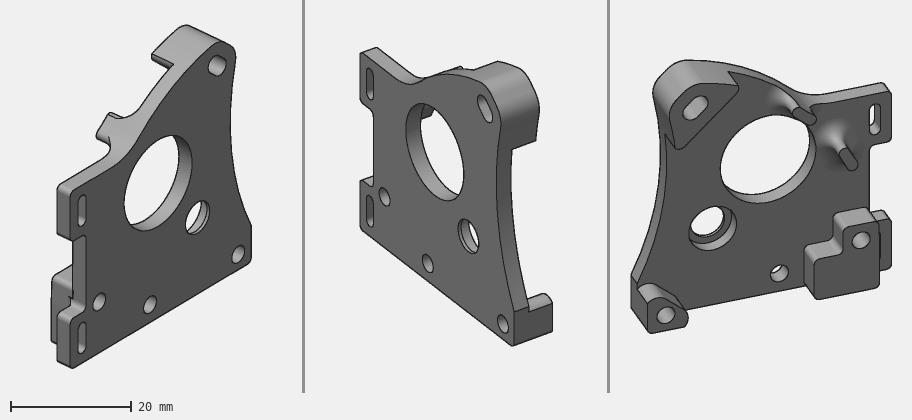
import cadquery as cq
import math

total_depth = 7.8
plate_thickness = 2.98
plate_front = total_depth - plate_thickness
plate_width = 45.35
plate_height = 47.25

edge_radius = 1.0
screw_radius = 1.6

tab_width = 3.95
lower_tab_top = 9.9
upper_tab_bottom = 25.05
upper_tab_top = 35.0
tab_slot_length = 6.0
tab_slot_radius = tab_width / 4
tab_slot_heights = (4.95, 30.0)
lower_tab_bevel = 0.15

ear_radius = 4.0
ear_slot_length = 1.75
ear_slot_angle = 42.3
ear_top_center = (36.15, plate_height - ear_radius)
ear_pad_half_length = 7.5
ear_pad_radius = 1.3

side_arc_radius = 51.45
side_arc_center_z = 29.8
crown_arc_radius = 38.05
crown_arc_center_y = 43.15
neck_arc_radius = 9.9

bore_center = (22.0, 26.45)
bore_radius = 8.5
bearing_center = (31.9, 15.0)
bearing_hole_radius = 3.0
bearing_pocket_radius = 4.25
bearing_pocket_depth = 2.35
bottom_hole_center = (20.0, 3.5)
block_hole_center = (7.25, 10.0)
corner_hole_center = (42.05, 3.0)

corner_pad_angle = 221.0
corner_pad_half_length = 4.5
corner_pad_offset = 2.4
corner_pad_radius = 2.4

block_left = 15.65
block_step_y = 10.5
block_step_z = 8.05
block_top = 13.2
block_lean = 0.2

peg_radius = 1.0
peg_flare_radius = 2.98
pegs = (
    ((17.4, 36.65), 3.05, 41.3),
    ((9.5, 26.4), 3.05, 62.7),
)

select_margin = 0.05


def polar(center, length, angle):
    """Point at a distance and an angle (degrees from +Y towards +Z) from a centre."""
    turn = math.radians(angle)
    return (center[0] + length * math.cos(turn), center[1] + length * math.sin(turn))


def point_toward(start, end, distance):
    """Point at a distance from start on the ray towards end."""
    scale = distance / math.dist(start, end)
    return (start[0] + (end[0] - start[0]) * scale, start[1] + (end[1] - start[1]) * scale)


def arc_middle(center, start, end):
    """Middle of the minor arc about a centre."""
    chord_middle = ((start[0] + end[0]) / 2, (start[1] + end[1]) / 2)
    return point_toward(center, chord_middle, math.dist(center, start))


def at_depth(x):
    return cq.Workplane("YZ", origin=(x, 0, 0))


def hole(center, radius, start=0, depth=total_depth):
    return at_depth(start).center(*center).circle(radius).extrude(depth)


def obround(center, length, radius, angle, depth=total_depth):
    """Round-ended bar along X; length is between its end centres."""
    profile = at_depth(0).center(*center).transformed(rotate=(0, 0, angle))
    return profile.slot2D(length + 2 * radius, 2 * radius).extrude(depth)


ear_side_center = polar(ear_top_center, ear_slot_length, -ear_slot_angle)

side_reach = side_arc_radius + ear_radius
side_arc_center = (
    ear_side_center[0] + math.sqrt(side_reach**2 - (ear_side_center[1] - side_arc_center_z) ** 2),
    side_arc_center_z,
)
side_arc_foot = (
    plate_width,
    side_arc_center_z - math.sqrt(side_arc_radius**2 - (side_arc_center[0] - plate_width) ** 2),
)
side_arc_end = point_toward(ear_side_center, side_arc_center, ear_radius)

crown_reach = crown_arc_radius - ear_radius
crown_arc_center = (
    crown_arc_center_y,
    ear_top_center[1] - math.sqrt(crown_reach**2 - (crown_arc_center_y - ear_top_center[0]) ** 2),
)
crown_start = point_toward(crown_arc_center, ear_top_center, crown_arc_radius)

neck_reach = crown_arc_radius + neck_arc_radius
neck_center_z = upper_tab_top + neck_arc_radius
neck_arc_center = (
    crown_arc_center_y - math.sqrt(neck_reach**2 - (neck_center_z - crown_arc_center[1]) ** 2),
    neck_center_z,
)
crown_end = point_toward(crown_arc_center, neck_arc_center, crown_arc_radius)
neck_end = (neck_arc_center[0], upper_tab_top)

ear_flat_side = polar(ear_side_center, ear_radius, 90 - ear_slot_angle)
ear_flat_top = polar(ear_top_center, ear_radius, 90 - ear_slot_angle)


def outline_prism(start):
    """Prism of the plate outline from X = start to the back of the plate."""
    prism = (
        at_depth(start)
        .moveTo(0, 0)
        .lineTo(plate_width, 0)
        .lineTo(*side_arc_foot)
        .threePointArc(arc_middle(side_arc_center, side_arc_foot, side_arc_end), side_arc_end)
        .threePointArc(arc_middle(ear_side_center, side_arc_end, ear_flat_side), ear_flat_side)
        .lineTo(*ear_flat_top)
        .threePointArc(arc_middle(ear_top_center, ear_flat_top, crown_start), crown_start)
        .threePointArc(arc_middle(crown_arc_center, crown_start, crown_end), crown_end)
        .threePointArc(arc_middle(neck_arc_center, crown_end, neck_end), neck_end)
        .lineTo(0, upper_tab_top)
        .lineTo(0, upper_tab_bottom)
        .lineTo(tab_width, upper_tab_bottom)
        .lineTo(tab_width, lower_tab_top)
        .lineTo(0, lower_tab_top)
        .close()
        .extrude(total_depth - start)
    )
    square_corners = [
        (0, 0),
        (plate_width, 0),
        (0, upper_tab_top),
        (0, upper_tab_bottom),
        (tab_width, upper_tab_bottom),
        (tab_width, lower_tab_top),
        (0, lower_tab_top),
    ]
    for y, z in square_corners:
        edge = cq.selectors.NearestToPointSelector(((start + total_depth) / 2, y, z))
        prism = prism.edges("|X").edges(edge).fillet(edge_radius)
    return prism


full_prism = outline_prism(0)


def tilted_pad(center, angle, half_length, offset, corner_radius):
    """Pad with a straight rounded edge beside a hole, trimmed elsewhere by the outline."""
    reach = 2 * half_length
    pad = (
        at_depth(0)
        .center(*center)
        .transformed(rotate=(0, 0, angle))
        .center(0, (reach - offset) / 2)
        .rect(2 * half_length, reach + offset)
        .extrude(total_depth)
        .edges("|X")
        .fillet(corner_radius)
    )
    return pad.intersect(full_prism)


def stepped_block():
    block = (
        at_depth(0)
        .moveTo(tab_width, 0)
        .lineTo(tab_width, block_step_z)
        .lineTo(tab_width + block_lean, block_top)
        .lineTo(block_step_y, block_top)
        .lineTo(block_step_y, block_step_z)
        .lineTo(block_left, block_step_z)
        .lineTo(block_left, 0)
        .close()
        .extrude(plate_front)
    )
    rounded_corners = [
        (tab_width, 0),
        (tab_width + block_lean, block_top),
        (block_step_y, block_top),
        (block_step_y, block_step_z),
        (block_left, block_step_z),
        (block_left, 0),
    ]
    for y, z in rounded_corners:
        edge = cq.selectors.NearestToPointSelector((plate_front / 2, y, z))
        block = block.edges("|X").edges(edge).fillet(edge_radius)
    return block


def block_foot_fillet(block):
    """Fillet from the lower tab up the block wall and around its bottom corner."""
    slab_corner = (plate_front, -block_left, -block_top)
    slab = cq.Workplane("XY", origin=slab_corner).box(
        plate_thickness, 3 * block_left, 3 * block_top, centered=False
    )
    foot_edges = cq.selectors.BoxSelector(
        (plate_front - select_margin, tab_width - select_margin, 0),
        (plate_front + select_margin, tab_width + edge_radius / 2, block_top - edge_radius),
    )
    filleted = slab.union(block).edges(foot_edges).fillet(edge_radius)
    foot_zone = cq.Workplane("XY").box(
        total_depth, tab_width + edge_radius, lower_tab_top + edge_radius, centered=False
    )
    return filleted.intersect(foot_zone).intersect(full_prism)


def flared_peg(center, length, angle):
    """Round-ended peg with a concave flare spreading onto the plate face."""
    spread = 2 * (length + peg_radius + 2 * peg_flare_radius)
    base = at_depth(plate_front).center(*center).rect(spread, spread).extrude(plate_thickness)
    peg = base.union(obround(center, length, peg_radius, angle, depth=plate_front))
    foot = cq.selectors.BoxSelector(
        (plate_front - select_margin, center[0] - length, center[1] - length),
        (plate_front + select_margin, center[0] + length, center[1] + length),
    )
    return peg.edges(foot).fillet(peg_flare_radius).intersect(full_prism)


def beveled_lower_tab(plate):
    """Plate with a thin bevel around the front rim of its lower tab."""
    tab_zone = cq.Workplane("XY").box(
        total_depth, tab_width - edge_radius, lower_tab_top + edge_radius, centered=False
    )
    tab_rim = cq.selectors.BoxSelector(
        (plate_front - select_margin, -select_margin, -select_margin),
        (plate_front + select_margin, tab_width - edge_radius - select_margin, lower_tab_top + select_margin),
    )
    beveled = plate.intersect(tab_zone).edges(tab_rim).chamfer(lower_tab_bevel)
    return plate.cut(tab_zone).union(beveled)


body = beveled_lower_tab(outline_prism(plate_front))

ear_center = polar(ear_top_center, ear_slot_length / 2, -ear_slot_angle)
body = body.union(
    tilted_pad(ear_center, -ear_slot_angle, ear_pad_half_length, ear_radius, ear_pad_radius)
)
body = body.union(
    tilted_pad(
        corner_hole_center,
        corner_pad_angle,
        corner_pad_half_length,
        corner_pad_offset,
        corner_pad_radius,
    )
)
block = stepped_block()
body = body.union(block).union(block_foot_fillet(block))
for peg_center, peg_length, peg_angle in pegs:
    body = body.union(flared_peg(peg_center, peg_length, peg_angle))

body = body.cut(hole(bore_center, bore_radius))
body = body.cut(hole(bearing_center, bearing_hole_radius))
body = body.cut(hole(bearing_center, bearing_pocket_radius, plate_front, bearing_pocket_depth))
for screw_center in (bottom_hole_center, block_hole_center, corner_hole_center):
    body = body.cut(hole(screw_center, screw_radius))
body = body.cut(obround(ear_center, ear_slot_length, screw_radius, -ear_slot_angle))
for slot_height in tab_slot_heights:
    slot_center = (tab_width - tab_slot_radius, slot_height)
    body = body.cut(obround(slot_center, tab_slot_length - 2 * tab_slot_radius, tab_slot_radius, 90))

result = body